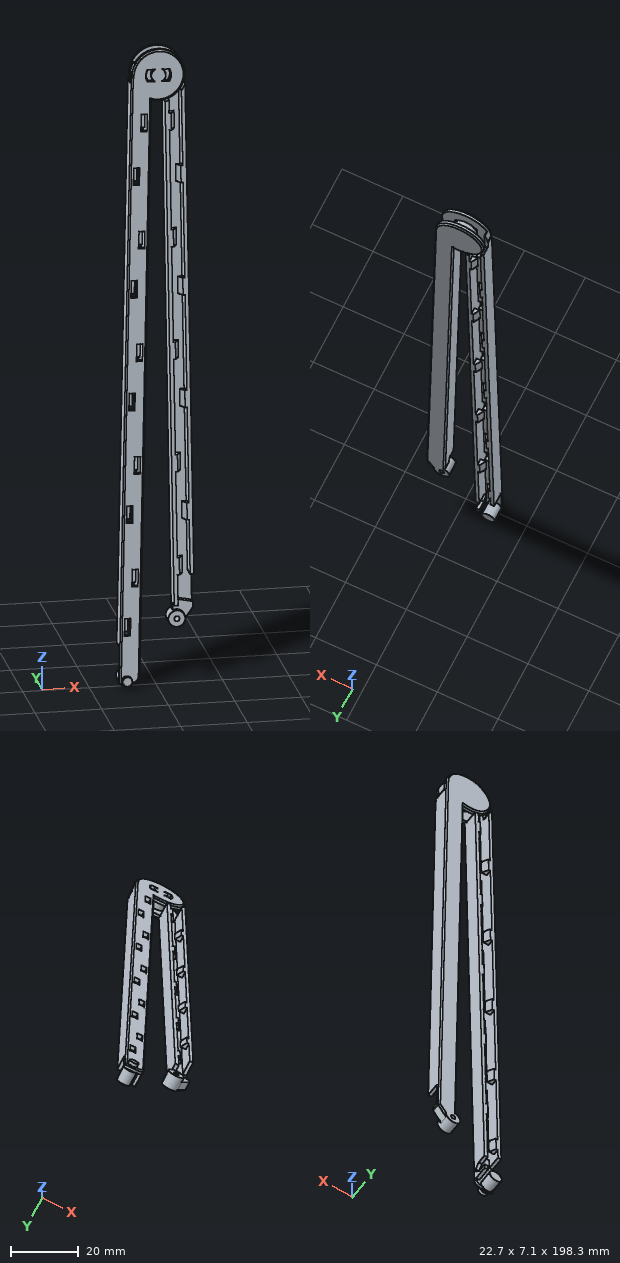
import cadquery as cq
import math

HINGE_X = 0.4
HINGE_Z = 91.1
EAR_RADIUS = 8.0
EAR_CLEARANCE = 0.5
HUB_RADIUS = 3.5

FRONT_Y = -2.4
BACK_Y = 3.5
PLATE = 1.4
EDGE_CHAMFER = 0.5
MIDDLE_Y = (FRONT_Y + BACK_Y) / 2
FRONT_PLATE_Y = FRONT_Y + PLATE
BACK_PLATE_Y = BACK_Y - PLATE

ARM_WIDTH = 6.1
WALL = 1.2

TOOTH_LENGTH = 5.3
TOOTH_REACH = 1.8
TOOTH_FLAT = 0.5
TOOTH_RAMP_DEPTH = 2.0
TOOTH_PITCH = 35.0
TOOTH_COUNT = 5
FIRST_OUTER_TOOTH = 31.3
FIRST_INNER_TOOTH = 14.7
SECOND_INNER_TOOTH = 51.1
outer_teeth = [FIRST_OUTER_TOOTH + i * TOOTH_PITCH for i in range(TOOTH_COUNT)]
inner_teeth = [FIRST_INNER_TOOTH]
inner_teeth += [SECOND_INNER_TOOTH + i * TOOTH_PITCH for i in range(TOOTH_COUNT - 1)]

LEFT_ANGLE = 1.1
LEFT_LENGTH = 189.3
LEFT_OUTER_X = -8.1
LEFT_INNER_X = LEFT_OUTER_X + ARM_WIDTH
LEFT_OUTER_WALL_END = 178.0
LEFT_CORNER_RADIUS = 2.4
LEFT_INNER_WALL_END = LEFT_LENGTH - LEFT_CORNER_RADIUS
NOTCH_TOP = 180.8
NOTCH_BOTTOM = 185.2
NOTCH_CHAMFER = 1.5
SHOULDER_HEIGHT = HUB_RADIUS
LEFT_BOSS_RADIUS = 2.2
LEFT_BOSS_X = LEFT_OUTER_X + LEFT_BOSS_RADIUS
LEFT_BOSS_DROP = 188.2
PEG_RADIUS = 1.49
PEG_HEIGHT = 1.2
WINDOW_INNER_RADIUS = 2.2
WINDOW_OUTER_RADIUS = 3.8
WINDOW_HEIGHT = 3.8

RIGHT_ANGLE = 1.0
RIGHT_OUTER_X = 8.0
RIGHT_INNER_X = RIGHT_OUTER_X - ARM_WIDTH
RIGHT_OUTER_WALL_END = 156.0
RIGHT_INNER_WALL_END = 165.5
RIGHT_EDGE_END = 167.4
END_BLOCK_Y = 0.4
END_BLOCK_SLANT = 1.4
RIGHT_BOSS_RADIUS = 2.5
RIGHT_BOSS_X = 2.8
RIGHT_BOSS_DROP = 170.1
BOSS_HOLE_RADIUS = 0.8


def block(x_range, y_range, z_range):
    """Box between pairs of limits along X, Y and Z."""
    (x0, x1), (y0, y1), (z0, z1) = x_range, y_range, z_range
    return cq.Workplane("XY").box(x1 - x0, y1 - y0, z1 - z0, centered=False).translate((x0, y0, z0))


def cylinder(radius, y_range, x=0, z=0):
    """Cylinder along Y between two Y limits."""
    y0, y1 = y_range
    return cq.Workplane("XZ", origin=(x, y0, z)).circle(radius).extrude(y0 - y1)


def plate(points, y_range):
    """Straight-sided plate in the XZ plane between two Y limits."""
    y0, y1 = y_range
    return cq.Workplane("XZ", origin=(0, y0, 0)).polyline(points).close().extrude(y0 - y1)


def tooth(wall_x, direction, rim_y, base_y, drop):
    """Ramp tooth on a wall's inside face, rising away from the rim towards the arm's plate."""
    ramp = math.copysign(TOOTH_RAMP_DEPTH, base_y - rim_y)
    profile = [
        (wall_x, rim_y),
        (wall_x + direction * TOOTH_FLAT, rim_y),
        (wall_x + direction * TOOTH_REACH, rim_y + ramp),
        (wall_x, rim_y + ramp),
    ]
    bottom = -drop - TOOTH_LENGTH / 2
    return cq.Workplane("XY", origin=(0, 0, bottom)).polyline(profile).close().extrude(TOOTH_LENGTH)


def swing_open(arm, angle):
    """Turn an arm about the hinge axis and move it to the hinge."""
    return arm.rotate((0, 0, 0), (0, 1, 0), angle).translate((HINGE_X, 0, HINGE_Z))


def hinge_windows():
    """Two openings either side of the hinge axis, each between two concentric arcs."""
    front = (FRONT_Y, FRONT_PLATE_Y)
    ring = cylinder(WINDOW_OUTER_RADIUS, front).cut(cylinder(WINDOW_INNER_RADIUS, front))
    band = (-WINDOW_HEIGHT / 2, WINDOW_HEIGHT / 2)
    return ring.intersect(block((-EAR_RADIUS, EAR_RADIUS), front, band))


def left_arm():
    """Channel with its plate at the front, open to the back, ending in a boss and peg."""
    front = (FRONT_Y, FRONT_PLATE_Y)
    behind_plate = (FRONT_PLATE_Y, BACK_Y)
    outer_inside = LEFT_OUTER_X + WALL
    inner_inside = LEFT_INNER_X - WALL

    strip = block((LEFT_OUTER_X, LEFT_INNER_X), front, (-LEFT_LENGTH, 0))
    strip = strip.edges("|Y and >X and <Z").fillet(LEFT_CORNER_RADIUS)

    outer_wall = block((LEFT_OUTER_X, outer_inside), behind_plate, (-LEFT_OUTER_WALL_END, 0))
    inner_wall = block((inner_inside, LEFT_INNER_X), behind_plate, (-LEFT_INNER_WALL_END, 0))
    notch = block((inner_inside, LEFT_INNER_X), behind_plate, (-NOTCH_BOTTOM, -NOTCH_TOP))
    notch = notch.edges("|X and <Y").chamfer(NOTCH_CHAMFER)
    walls = outer_wall.union(inner_wall.cut(notch))

    walls = walls.cut(cylinder(EAR_RADIUS + EAR_CLEARANCE, behind_plate))
    shoulder = cylinder(EAR_RADIUS, (FRONT_PLATE_Y, MIDDLE_Y))
    shoulder = shoulder.intersect(
        block((LEFT_OUTER_X, outer_inside), behind_plate, (-EAR_RADIUS, SHOULDER_HEIGHT))
    )
    shoulder = shoulder.union(
        block((LEFT_OUTER_X, outer_inside), (FRONT_PLATE_Y, MIDDLE_Y), (-EAR_RADIUS, 0))
    )

    face_plate = cylinder(EAR_RADIUS, front).union(strip)
    face_plate = face_plate.faces("<Y").edges().chamfer(EDGE_CHAMFER)
    arm = face_plate.union(walls).union(shoulder).cut(hinge_windows())

    for wall_x, direction, drops in ((outer_inside, 1, outer_teeth), (inner_inside, -1, inner_teeth)):
        tip_x = wall_x + direction * TOOTH_REACH
        for drop in drops:
            slot_z = (-drop - TOOTH_LENGTH / 2, -drop + TOOTH_LENGTH / 2)
            arm = arm.cut(block((min(wall_x, tip_x), max(wall_x, tip_x)), front, slot_z))
            arm = arm.union(tooth(wall_x, direction, BACK_Y, FRONT_Y, drop))

    boss = cylinder(LEFT_BOSS_RADIUS, (FRONT_PLATE_Y, BACK_Y), LEFT_BOSS_X, -LEFT_BOSS_DROP)
    peg = cylinder(PEG_RADIUS, (FRONT_Y - PEG_HEIGHT, FRONT_Y), LEFT_BOSS_X, -LEFT_BOSS_DROP)
    return swing_open(arm.union(boss).union(peg), LEFT_ANGLE)


def right_arm():
    """Channel with its plate at the back, open to the front, ending in a holed boss."""
    back = (BACK_PLATE_Y, BACK_Y)
    before_plate = (FRONT_Y, BACK_PLATE_Y)
    outer_inside = RIGHT_OUTER_X - WALL
    inner_inside = RIGHT_INNER_X + WALL

    tangent = RIGHT_BOSS_RADIUS / math.sqrt(2)
    end_points = [
        (RIGHT_OUTER_X, -RIGHT_EDGE_END),
        (RIGHT_BOSS_X + tangent, -RIGHT_BOSS_DROP - tangent),
        (RIGHT_INNER_X, -RIGHT_BOSS_DROP),
    ]
    strip = plate([(RIGHT_INNER_X, 0), (RIGHT_OUTER_X, 0)] + end_points, back)
    end_top = -RIGHT_INNER_WALL_END
    end_block = plate(
        [(RIGHT_INNER_X, end_top + END_BLOCK_SLANT), (RIGHT_OUTER_X, end_top)] + end_points,
        (END_BLOCK_Y, BACK_PLATE_Y),
    )

    outer_wall = block((outer_inside, RIGHT_OUTER_X), before_plate, (-RIGHT_OUTER_WALL_END, 0))
    inner_wall = block((RIGHT_INNER_X, inner_inside), before_plate, (end_top, 0))
    walls = outer_wall.union(inner_wall).cut(cylinder(EAR_RADIUS + EAR_CLEARANCE, before_plate))

    hub = cylinder(HUB_RADIUS, (FRONT_PLATE_Y, BACK_PLATE_Y))
    back_plate = cylinder(EAR_RADIUS, back).union(strip)
    back_plate = back_plate.faces(">Y").edges().chamfer(EDGE_CHAMFER)
    arm = back_plate.union(walls).union(end_block).union(hub)

    last_inner_tooth = RIGHT_OUTER_WALL_END - TOOTH_LENGTH / 2
    right_outer_teeth = outer_teeth[:-1]
    right_inner_teeth = inner_teeth[:-1] + [last_inner_tooth]
    tooth_rows = ((outer_inside, -1, right_outer_teeth), (inner_inside, 1, right_inner_teeth))
    for wall_x, direction, drops in tooth_rows:
        for drop in drops:
            arm = arm.union(tooth(wall_x, direction, FRONT_Y, BACK_Y, drop))

    boss_depth = (FRONT_PLATE_Y, BACK_Y)
    boss = cylinder(RIGHT_BOSS_RADIUS, boss_depth, RIGHT_BOSS_X, -RIGHT_BOSS_DROP)
    hole = cylinder(BOSS_HOLE_RADIUS, boss_depth, RIGHT_BOSS_X, -RIGHT_BOSS_DROP)
    return swing_open(arm.union(boss).cut(hole), -RIGHT_ANGLE)


result = cq.Compound.makeCompound([left_arm().val(), right_arm().val()])